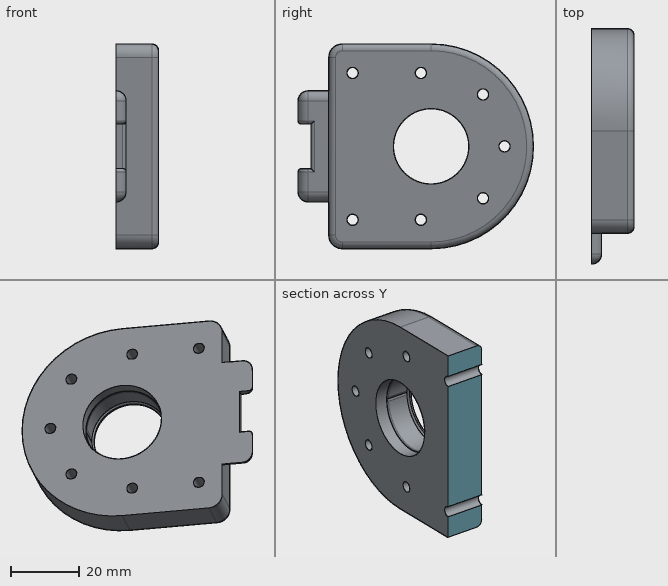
import cadquery as cq
import math

thickness = 12.5
body_radius = 30.0
corner_radius = 4.0
back_fillet = 2.0

tab_length = 9.0
tab_width = 32.6
tab_thickness = 3.0
tab_fillet = tab_thickness
notch_width = 13.0
notch_depth = 3.8
notch_fillet = 1.0
tab_overlap = 5.0
selection_margin = 0.1

entry_radius = 11.75
entry_depth = 4.0
lead_in_radius = 11.6
lead_in_length = 0.5
seat_radius = 11.5
taper_start = 11.3
taper_length = 0.6
exit_radius = 11.0

groove_rounding = 1.5
groove_sweep = math.radians(35)

screw_radius = 1.6
screw_circle_radius = 21.5
straight_screw_y = (-3.0, -23.0)
arc_screw_angles = (-45, 0, 45)

body_end_y = -body_radius
tab_end_y = body_end_y - tab_length


def make_body():
    """D-shaped plate with rounded -Y corners and a rounded back rim."""
    outline = (
        cq.Workplane("YZ")
        .moveTo(body_end_y, -body_radius)
        .lineTo(0, -body_radius)
        .threePointArc((body_radius, 0), (0, body_radius))
        .lineTo(body_end_y, body_radius)
        .close()
    )
    body = outline.extrude(thickness)
    body = body.edges("|X and <Y").fillet(corner_radius)
    return body.faces(">X").edges().fillet(back_fillet)


def make_tab():
    """Tab with fully rounded outer edges and a round-edged notch cut in its end."""
    length = tab_length + tab_overlap
    block = cq.Workplane("XY").box(2 * tab_thickness, length, tab_width, centered=(True, False, True))
    block = block.translate((0, tab_end_y, 0))
    block = block.edges("(|X and <Y) or (>X and (not >Y))").fillet(tab_fillet)
    keep = cq.Workplane("XY").box(tab_thickness, length, tab_width, centered=(False, False, True))
    tab = block.intersect(keep.translate((0, tab_end_y, 0)))

    notch = cq.Workplane("XY").box(tab_thickness, notch_depth, notch_width, centered=(False, False, True))
    tab = tab.cut(notch.translate((0, tab_end_y, 0)))

    half_span = notch_width / 2 + selection_margin
    notch_region = cq.selectors.BoxSelector(
        (0, tab_end_y, -half_span),
        (tab_thickness, tab_end_y + notch_depth + selection_margin, half_span),
    )
    return tab.faces(notch_region).edges("not(<X or |X)").fillet(notch_fillet)


def make_bore():
    """Revolved cutter: entry bore, step and lead-in to the seat, then a taper to the exit lip."""
    profile = (
        cq.Workplane("XZ")
        .moveTo(0, 0)
        .lineTo(0, -entry_radius)
        .lineTo(entry_depth, -entry_radius)
        .lineTo(entry_depth, -lead_in_radius)
        .lineTo(entry_depth + lead_in_length, -seat_radius)
        .lineTo(taper_start, -seat_radius)
        .lineTo(taper_start + taper_length, -exit_radius)
        .lineTo(thickness, -exit_radius)
        .lineTo(thickness, 0)
        .close()
    )
    return profile.revolve(360, (0, 0, 0), (1, 0, 0))


def make_rounded_groove():
    """Groove along the seat: two convex arcs curve outward from the seat wall and meet in a crease."""
    half_mouth = groove_rounding * math.sin(groove_sweep)
    mouth_y = math.sqrt(seat_radius**2 - half_mouth**2)
    crease_y = mouth_y + groove_rounding * (1 - math.cos(groove_sweep))
    arc_mid_y = mouth_y + groove_rounding * (1 - math.cos(groove_sweep / 2))
    arc_mid_z = half_mouth - groove_rounding * math.sin(groove_sweep / 2)
    return (
        cq.Workplane("YZ", origin=(entry_depth, 0, 0))
        .moveTo(mouth_y, -half_mouth)
        .threePointArc((arc_mid_y, -arc_mid_z), (crease_y, 0))
        .threePointArc((arc_mid_y, arc_mid_z), (mouth_y, half_mouth))
        .close()
        .extrude(taper_start - entry_depth)
    )


def make_screw_holes():
    """Through holes: two along each straight side and three around the round end."""
    points = [(y, side * screw_circle_radius) for y in straight_screw_y for side in (-1, 1)]
    for angle in arc_screw_angles:
        turn = math.radians(angle)
        points.append((screw_circle_radius * math.cos(turn), screw_circle_radius * math.sin(turn)))
    return cq.Workplane("YZ").pushPoints(points).circle(screw_radius).extrude(thickness)


result = make_body().union(make_tab())
result = result.cut(make_bore()).cut(make_rounded_groove()).cut(make_screw_holes())